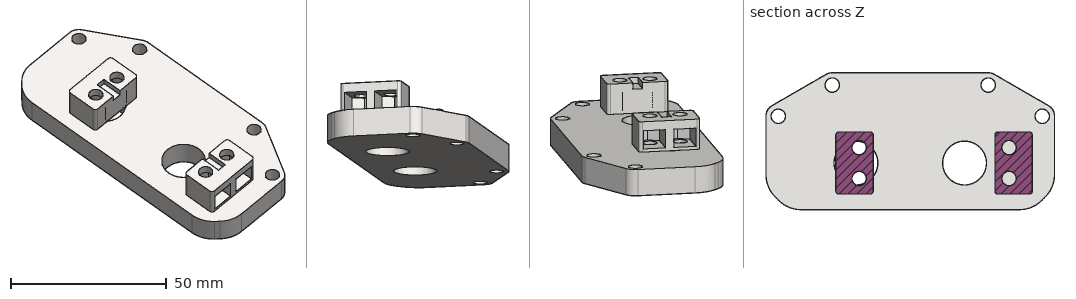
import cadquery as cq
import math

plate_length = 92.6
plate_width = 44.0
plate_thickness = 8.7
back_corner_radius = 4.0
front_corner_chamfer = 7.1
front_corner_radius = 10.0
back_slope_angle = 30.0

hole_diameter = 4.5
port_diameter = 14.0
port_x = 17.4
port_y = 15.0
outer_hole_x = plate_length / 2 - back_corner_radius
inner_hole_x = 25.0
inner_hole_y = plate_width - back_corner_radius
back_slope = math.tan(math.radians(back_slope_angle))
outer_hole_y = inner_hole_y - (outer_hole_x - inner_hole_x) * back_slope

block_length = 12.0
block_width = 20.0
block_height = 10.0
block_corner_radius = 1.0
left_block_x = -17.9
right_block_x = 33.2
screw_spacing = 9.9
screw_inset = 4.5
groove_length = 7.0
groove_width = 3.15
groove_depth = 2.0
nut_width = 7.2
nut_height = 6.0
nut_floor = 1.0
hexagon_half_angle = 30.0


def make_plate():
    half_length = plate_length / 2
    offset = back_corner_radius / math.cos(math.radians(back_slope_angle))
    side_corner_y = inner_hole_y - (half_length - inner_hole_x) * back_slope + offset
    back_corner_x = inner_hole_x + (offset - back_corner_radius) / back_slope
    right_outline = [
        (half_length - front_corner_chamfer, 0),
        (half_length, front_corner_chamfer),
        (half_length, side_corner_y),
        (back_corner_x, plate_width),
    ]
    left_outline = [(-x, y) for x, y in reversed(right_outline)]
    plate = cq.Workplane("XY").polyline(right_outline + left_outline).close().extrude(plate_thickness)

    middle_y = plate_width / 2
    front_half = cq.selectors.BoxSelector(
        (-plate_length, -plate_width, 0), (plate_length, middle_y, plate_thickness)
    )
    back_half = cq.selectors.BoxSelector(
        (-plate_length, middle_y, 0), (plate_length, 2 * plate_width, plate_thickness)
    )
    back_edges = plate.edges("|Z").edges(back_half)
    plate = back_edges.fillet(back_corner_radius)
    front_edges = plate.edges("|Z").edges(front_half)
    plate = front_edges.fillet(front_corner_radius)

    small_holes = []
    ports = []
    for side in (-1, 1):
        small_holes += [(side * outer_hole_x, outer_hole_y), (side * inner_hole_x, inner_hole_y)]
        ports.append((side * port_x, port_y))
    for centers, diameter in ((small_holes, hole_diameter), (ports, port_diameter)):
        plugs = cq.Workplane("XY").pushPoints(centers).circle(diameter / 2).extrude(plate_thickness)
        plate = plate.cut(plugs)
    return plate


def make_nut_pocket(x, y):
    """Hexagonal nut seat with its point toward +X, open to the -X face."""
    half_width = nut_width / 2
    shoulder = half_width * math.tan(math.radians(hexagon_half_angle))
    entry_x = -block_length / 2
    outline = [
        (entry_x, y - half_width),
        (x + shoulder, y - half_width),
        (x + 2 * shoulder, y),
        (x + shoulder, y + half_width),
        (entry_x, y + half_width),
    ]
    return cq.Workplane("XY").workplane(offset=nut_floor).polyline(outline).close().extrude(nut_height)


def make_block():
    """Block centred on the origin, with nut pockets at -X and the groove at +X."""
    block = cq.Workplane("XY").box(block_length, block_width, block_height, centered=(True, True, False))
    block = block.edges("|Z").fillet(block_corner_radius)

    groove = (
        cq.Workplane("XY")
        .box(groove_length, groove_width, groove_depth, centered=(True, True, False))
        .translate(((block_length - groove_length) / 2, 0, block_height - groove_depth))
    )
    block = block.cut(groove)

    screw_x = block_length / 2 - screw_inset
    for screw_y in (-screw_spacing / 2, screw_spacing / 2):
        screw_hole = cq.Workplane("XY").center(screw_x, screw_y).circle(hole_diameter / 2).extrude(block_height)
        block = block.cut(screw_hole).cut(make_nut_pocket(screw_x, screw_y))
    return block


left_block = make_block().translate((left_block_x, port_y, plate_thickness))
right_block = (
    make_block()
    .rotate((0, 0, 0), (0, 0, 1), 180)
    .translate((right_block_x, port_y, plate_thickness))
)
result = make_plate().union(left_block).union(right_block)